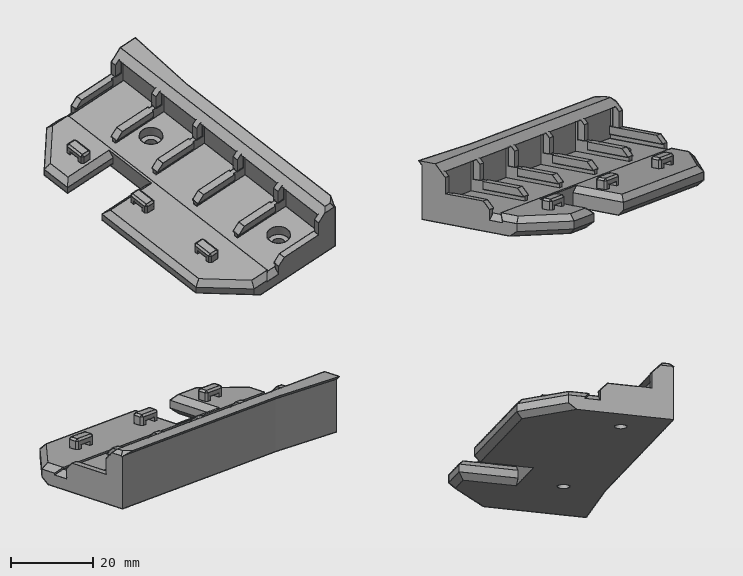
import cadquery as cq
import math

LENGTH = 74.7
DEPTH = 39.4
HEIGHT = 14.7

PLATE_TOP = 5.0
PLATE_BEVEL = 1.5
CORNER_CUT = 10.0
SLOT_LEFT = 18.45
SLOT_RIGHT = 30.8
SLOT_END = 15.1

FLOOR_TOP = 4.55
FLOOR_FRONT = 15.75

WALL_FRONT = 31.4
WALL_BEVEL = 3.0
BROW_SETBACK = 1.05
RECESS_DEPTH = 2.8
LIP_FLARE = 1.0
LIP_BACK = 37.9
FLARE_RUN = 20.0
END_BEVEL = 1.0
CORNER_FACET_RUN = 2.8

DIVIDER_COUNT = 6
DIVIDER_WIDTH = 1.1
PILLAR_WIDTH = 1.6
PILLAR_DEPTH = 2.0
EDGE_WIDTH = 2.0
DIVIDER_PITCH = 14.65
DIVIDER_FRONT = 18.15
DIVIDER_TOP = 7.6
DIVIDER_BEVEL = 1.9
EDGE_BOTTOM = 5.6
EDGE_GAP = 1.05

HOLE_DIAMETER = 3.1
COUNTERBORE_DIAMETER = 5.75
COUNTERBORE_DEPTH = 2.8
HOLE_FIRST_X = 19.95
HOLE_SPACING = 45.95
HOLE_Y = 26.2

BRIDGE_COUNT = 3
BRIDGE_FIRST_X = 13.15
BRIDGE_PITCH = 23.0
BRIDGE_Y = 8.5
BRIDGE_LENGTH = 6.0
BRIDGE_DEPTH = 3.1
BRIDGE_HEIGHT = 2.7
BRIDGE_BEVEL = 0.5
TUNNEL_WIDTH = 3.0
TUNNEL_HEIGHT = 1.05

WALL_SHOULDER = WALL_FRONT + WALL_BEVEL
BROW_FRONT = WALL_FRONT + BROW_SETBACK
RECESS_BACK = WALL_FRONT + RECESS_DEPTH
WALL_BEVEL_FOOT = HEIGHT - WALL_BEVEL
RECESS_TOP = WALL_BEVEL_FOOT + BROW_SETBACK
WALL_BACK = LIP_BACK - LIP_FLARE
FIRST_DIVIDER_X = (LENGTH - (DIVIDER_COUNT - 1) * DIVIDER_PITCH) / 2
LAST_DIVIDER = DIVIDER_COUNT - 1


def side_profile(points, x0, x1):
    """Extrude an outline of (y, z) points from x0 to x1."""
    return cq.Workplane("YZ", origin=(x0, 0, 0)).polyline(points).close().extrude(x1 - x0)


def front_plate():
    outline = [
        (0, WALL_SHOULDER),
        (0, CORNER_CUT),
        (CORNER_CUT, 0),
        (SLOT_LEFT, 0),
        (SLOT_LEFT, SLOT_END),
        (SLOT_RIGHT, SLOT_END),
        (SLOT_RIGHT, 0),
        (LENGTH - CORNER_CUT, 0),
        (LENGTH, CORNER_CUT),
        (LENGTH, WALL_SHOULDER),
    ]
    plate = cq.Workplane("XY").polyline(outline).close().extrude(PLATE_TOP)

    front_edges = cq.selectors.BoxSelector((-0.75, -0.75, -0.75), (LENGTH + 0.75, CORNER_CUT, HEIGHT))
    side_edges = cq.selectors.ParallelDirSelector(cq.Vector(0, 1, 0))
    right_slot_edge = cq.selectors.NearestToPointSelector((SLOT_RIGHT, SLOT_END / 2, 0))

    plate = plate.faces(">Z").edges(side_edges + front_edges).chamfer(PLATE_BEVEL)

    plate = plate.faces("<Z").edges(front_edges - right_slot_edge).chamfer(PLATE_BEVEL)
    return plate.cut(floor_clearance())


def floor_clearance():
    """Space above the floor; the floor keeps the plate's beveled sides and meets them in mitres."""
    mitre_front = FLOOR_FRONT - PLATE_BEVEL
    plan = [
        (0, mitre_front),
        (PLATE_BEVEL, FLOOR_FRONT),
        (LENGTH - PLATE_BEVEL, FLOOR_FRONT),
        (LENGTH, mitre_front),
        (LENGTH, WALL_SHOULDER),
        (0, WALL_SHOULDER),
    ]
    bevel_foot = FLOOR_TOP - PLATE_BEVEL
    section = [
        (0, bevel_foot),
        (PLATE_BEVEL, FLOOR_TOP),
        (LENGTH - PLATE_BEVEL, FLOOR_TOP),
        (LENGTH, bevel_foot),
        (LENGTH, HEIGHT),
        (0, HEIGHT),
    ]
    column = cq.Workplane("XY").polyline(plan).close().extrude(HEIGHT)
    trough = cq.Workplane("XZ").polyline(section).close().extrude(-DEPTH)
    return column.intersect(trough)


def rear_wall():
    slope = (DEPTH - LIP_BACK) / FLARE_RUN
    margin = 2 * LIP_FLARE
    plan = [
        (-margin, WALL_FRONT),
        (LENGTH + margin, WALL_FRONT),
        (LENGTH + margin, WALL_BACK),
        (FLARE_RUN, WALL_BACK),
        (-margin, WALL_BACK + slope * (FLARE_RUN + margin)),
    ]
    lip_bottom = HEIGHT - LIP_FLARE
    wall = cq.Workplane("XY").polyline(plan).close().extrude(lip_bottom)
    lip = cq.Workplane("XY", origin=(0, 0, lip_bottom)).polyline(plan).close().extrude(LIP_FLARE, taper=-45)
    section = [
        (RECESS_BACK, 0),
        (RECESS_BACK, RECESS_TOP),
        (BROW_FRONT, RECESS_TOP),
        (WALL_SHOULDER, HEIGHT),
        (DEPTH, HEIGHT),
        (DEPTH, 0),
    ]
    return wall.union(lip).intersect(side_profile(section, 0, LENGTH))


def divider_slice(points, index, width):
    """Extrude a (y, z) outline across a divider; the end dividers reach the ends of the part."""
    centre = FIRST_DIVIDER_X + index * DIVIDER_PITCH
    left = 0 if index == 0 else centre - width / 2
    right = LENGTH if index == LAST_DIVIDER else centre + width / 2
    return side_profile(points, left, right)


def divider(index):
    """A low rib with an overhanging upper edge, and a thicker pillar against the wall."""
    bevel_foot = DIVIDER_TOP - DIVIDER_BEVEL
    bevel_back = DIVIDER_FRONT + DIVIDER_BEVEL
    pillar_back = WALL_FRONT + PILLAR_DEPTH
    rib = [
        (DIVIDER_FRONT, 0),
        (DIVIDER_FRONT, bevel_foot),
        (bevel_back, DIVIDER_TOP),
        (pillar_back, DIVIDER_TOP),
        (pillar_back, RECESS_TOP),
        (WALL_SHOULDER, RECESS_TOP),
        (WALL_SHOULDER, 0),
    ]
    pillar = [
        (WALL_FRONT, DIVIDER_TOP),
        (WALL_FRONT, WALL_BEVEL_FOOT),
        (WALL_SHOULDER, HEIGHT),
        (WALL_SHOULDER, RECESS_TOP),
        (pillar_back, RECESS_TOP),
        (pillar_back, DIVIDER_TOP),
    ]
    edge_back = RECESS_BACK if index == LAST_DIVIDER else WALL_FRONT - EDGE_GAP
    edge = [
        (DIVIDER_FRONT, EDGE_BOTTOM),
        (DIVIDER_FRONT, bevel_foot),
        (bevel_back, DIVIDER_TOP),
        (edge_back, DIVIDER_TOP),
        (edge_back, EDGE_BOTTOM),
    ]
    solid = divider_slice(rib, index, DIVIDER_WIDTH)
    solid = solid.union(divider_slice(pillar, index, PILLAR_WIDTH))
    return solid.union(divider_slice(edge, index, EDGE_WIDTH))


def end_bevel():
    """Wedge removed along the right end of the wall top."""
    section = [
        (LENGTH - END_BEVEL, HEIGHT),
        (LENGTH, HEIGHT - END_BEVEL),
        (LENGTH, HEIGHT),
    ]
    return cq.Workplane("XZ").polyline(section).close().extrude(-DEPTH)


def corner_facet():
    """Block removed at 45 degrees from the rear right top corner."""
    edge_point = cq.Vector(LENGTH - CORNER_FACET_RUN, LIP_BACK, HEIGHT)
    outward = cq.Vector(1, 1, math.sqrt(2))
    facet = cq.Plane(origin=edge_point, xDir=(1, -1, 0), normal=outward)
    return cq.Workplane(facet).rect(HEIGHT, HEIGHT).extrude(HEIGHT)


def screw_hole(x):
    bore = cq.Workplane("XY").circle(HOLE_DIAMETER / 2).extrude(FLOOR_TOP)
    seat = (
        cq.Workplane("XY", origin=(0, 0, FLOOR_TOP - COUNTERBORE_DEPTH))
        .circle(COUNTERBORE_DIAMETER / 2)
        .extrude(COUNTERBORE_DEPTH)
    )
    return bore.union(seat).translate((x, HOLE_Y, 0))


def strap_bridge(x):
    bridge = (
        cq.Workplane("XY")
        .box(BRIDGE_LENGTH, BRIDGE_DEPTH, BRIDGE_HEIGHT, centered=(True, True, False))
        .edges("|Z or >Z")
        .chamfer(BRIDGE_BEVEL)
    )
    tunnel = cq.Workplane("XY").box(TUNNEL_WIDTH, BRIDGE_DEPTH, TUNNEL_HEIGHT, centered=(True, True, False))
    return bridge.cut(tunnel).translate((x, BRIDGE_Y, PLATE_TOP))


result = front_plate().union(rear_wall())
for i in range(DIVIDER_COUNT):
    result = result.union(divider(i))
result = result.cut(end_bevel()).cut(corner_facet())
for x in (HOLE_FIRST_X, HOLE_FIRST_X + HOLE_SPACING):
    result = result.cut(screw_hole(x))
for i in range(BRIDGE_COUNT):
    result = result.union(strap_bridge(BRIDGE_FIRST_X + i * BRIDGE_PITCH))